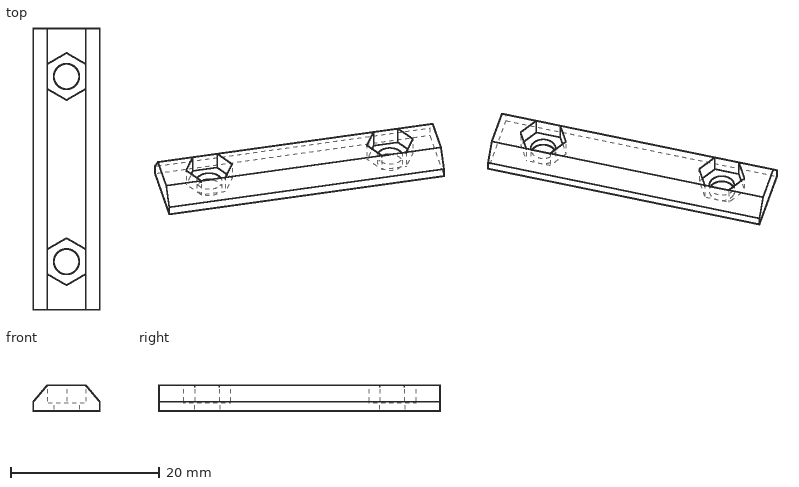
import cadquery as cq
import math

WIDTH = 9.0
LENGTH = 38.0
HEIGHT = 3.5

EDGE_HEIGHT = 1.25
TOP_WIDTH = 5.2

HOLE_DIAMETER = 3.4
HOLE_SPACING = 25.0
NUT_ACROSS_FLATS = 5.5
NUT_ACROSS_CORNERS = NUT_ACROSS_FLATS / math.cos(math.radians(30))
NUT_POCKET_DEPTH = 2.4


def make_bar():
    """Extrude the symmetric cross-section along Y, centred on the origin, base at Z = 0."""
    section = (
        cq.Workplane("XZ")
        .moveTo(-WIDTH / 2, 0)
        .lineTo(WIDTH / 2, 0)
        .lineTo(WIDTH / 2, EDGE_HEIGHT)
        .lineTo(TOP_WIDTH / 2, HEIGHT)
        .lineTo(-TOP_WIDTH / 2, HEIGHT)
        .lineTo(-WIDTH / 2, EDGE_HEIGHT)
        .close()
    )
    return section.extrude(LENGTH / 2, both=True)


def make_nut_seat(y):
    """Through hole plus a hexagonal pocket with two corners along Y.

    The pocket sides along X are trimmed to the flat top so the sloped shoulders stay whole.
    """
    hole = cq.Workplane("XY").center(0, y).circle(HOLE_DIAMETER / 2).extrude(HEIGHT)
    pocket_floor = cq.Workplane("XY", origin=(0, y, HEIGHT - NUT_POCKET_DEPTH))
    hexagon = (
        pocket_floor
        .transformed(rotate=(0, 0, 90))
        .polygon(6, NUT_ACROSS_CORNERS)
        .extrude(NUT_POCKET_DEPTH)
    )
    flat_top_limit = pocket_floor.rect(TOP_WIDTH, NUT_ACROSS_CORNERS).extrude(NUT_POCKET_DEPTH)
    return hole.union(hexagon.intersect(flat_top_limit))


result = make_bar()
for y_position in (-HOLE_SPACING / 2, HOLE_SPACING / 2):
    result = result.cut(make_nut_seat(y_position))